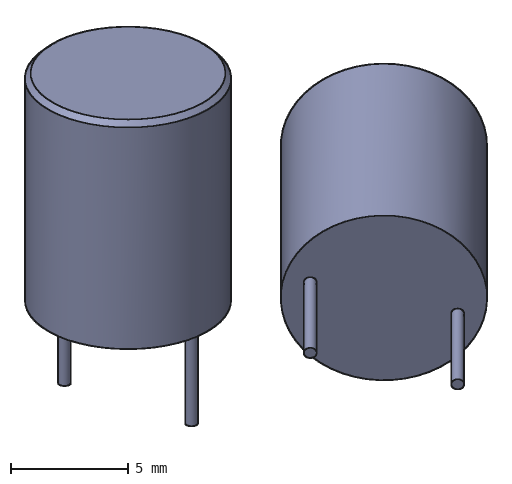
import cadquery as cq

BODY_DIAMETER = 8.8
BODY_HEIGHT = 11.0
TOP_CHAMFER = 0.25

PIN_DIAMETER = 0.55
PIN_LENGTH = 5.0
PIN_PITCH = 6.5


def make_body():
    """Cylindrical can with a chamfered top rim."""
    can = cq.Workplane("XY").circle(BODY_DIAMETER / 2).extrude(BODY_HEIGHT)
    return can.faces(">Z").edges().chamfer(TOP_CHAMFER)


def make_pins():
    """Pair of round leads hanging below the can, spaced along X."""
    pin_centres = [(-PIN_PITCH / 2, 0), (PIN_PITCH / 2, 0)]
    return (
        cq.Workplane("XY")
        .pushPoints(pin_centres)
        .circle(PIN_DIAMETER / 2)
        .extrude(-PIN_LENGTH)
    )


result = make_body().union(make_pins())